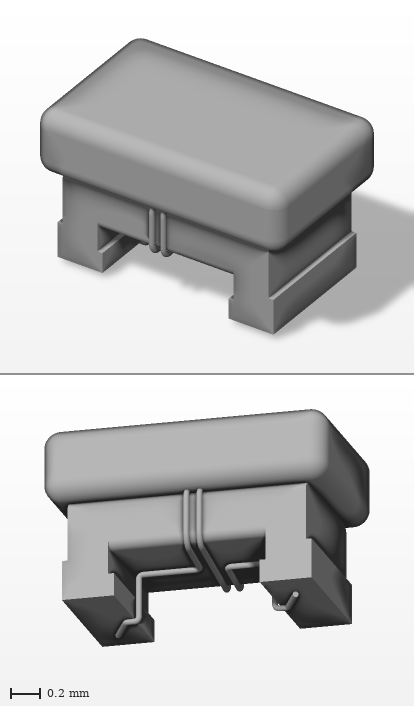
import cadquery as cq
import math

total_height = 1.24

cap_length = 2.0
cap_width = 1.25
cap_height = 0.5
cap_round = 0.12
cap_bottom = total_height - cap_height

wire_diameter = 0.04
wire_radius = wire_diameter / 2
core_length = 1.68
core_width = 1.015
core_round = 0.06
core_top = cap_bottom
beam_bottom = 0.38
leg_thickness = 0.285

plate_thickness = 0.04
terminal_bottom = wire_diameter
terminal_outer_top = 0.32
terminal_inner_top = 0.2
core_bottom = terminal_bottom + plate_thickness
leg_outer_x = core_length / 2
leg_inner_x = leg_outer_x - leg_thickness

coil_side_gap = 0.005
coil_end_gap = 0.01
coil_bend = core_round + coil_end_gap + wire_radius
coil_y = core_width / 2 + coil_side_gap + wire_radius
coil_bottom_z = beam_bottom - coil_end_gap - wire_radius
coil_top_z = core_top + coil_end_gap + wire_radius
first_turn_x = -0.002
turn_pitch = 0.092
second_turn_x = first_turn_x - turn_pitch
coil_entry_bend = 0.045
lead_bend = 0.03
lead_x = 0.48
end_z = wire_radius
end_turn_x = 0.57
end_tip_x = 0.695
end_tip_y = 0.252


def make_cap():
    """Block with all its edges rounded."""
    block = cq.Workplane("XY").box(cap_length, cap_width, cap_height)
    return block.edges().fillet(cap_round).translate((0, 0, cap_bottom + cap_height / 2))


def make_core():
    """Beam with rounded long edges, standing on two square-edged legs."""
    beam_height = core_top - beam_bottom
    beam = (
        cq.Workplane("XY")
        .box(core_length, core_width, beam_height)
        .edges("|X")
        .fillet(core_round)
        .translate((0, 0, beam_bottom + beam_height / 2))
    )
    leg_height = core_top - core_round - core_bottom
    leg_centre_x = leg_outer_x - leg_thickness / 2
    for side in (-1, 1):
        leg = cq.Workplane("XY").box(leg_thickness, core_width, leg_height)
        beam = beam.union(leg.translate((side * leg_centre_x, 0, core_bottom + leg_height / 2)))
    return beam


def make_terminal(side):
    """U-shaped plate around one foot, with its outer wall taller than its inner wall."""
    outline = [
        (leg_outer_x + plate_thickness, terminal_outer_top),
        (leg_outer_x + plate_thickness, terminal_bottom),
        (leg_inner_x - plate_thickness, terminal_bottom),
        (leg_inner_x - plate_thickness, terminal_inner_top),
        (leg_inner_x, terminal_inner_top),
        (leg_inner_x, core_bottom),
        (leg_outer_x, core_bottom),
        (leg_outer_x, terminal_outer_top),
    ]
    return (
        cq.Workplane("XZ")
        .polyline([(side * x, z) for x, z in outline])
        .close()
        .extrude(core_width / 2, both=True)
    )


def rounded_path(start, corners, end):
    """Straight runs joined by tangent arcs; each corner is a point and its bend radius."""
    points = [cq.Vector(*p) for p in [start] + [point for point, _ in corners] + [end]]
    edges = []
    run_start = points[0]
    for i, (_, bend) in enumerate(corners, start=1):
        corner = points[i]
        back = (points[i - 1] - corner).normalized()
        ahead = (points[i + 1] - corner).normalized()
        half_angle = back.getAngle(ahead) / 2
        setback = bend / math.tan(half_angle)
        arc_start = corner + back * setback
        arc_end = corner + ahead * setback
        mid_distance = bend / math.sin(half_angle) - bend
        arc_middle = corner + (back + ahead).normalized() * mid_distance
        edges.append(cq.Edge.makeLine(run_start, arc_start))
        edges.append(cq.Edge.makeThreePointArc(arc_start, arc_middle, arc_end))
        run_start = arc_end
    edges.append(cq.Edge.makeLine(run_start, points[-1]))
    return cq.Wire.assembleEdges(edges)


def make_winding():
    """One wire: right end, two turns that advance by slanted runs under the beam, left end."""
    right_tip = (end_tip_x, -end_tip_y, end_z)
    left_tip = (-end_tip_x, end_tip_y, end_z)
    right_lead = [
        ((end_turn_x, 0, end_z), lead_bend),
        ((lead_x, 0, end_z), lead_bend),
        ((lead_x, 0, coil_bottom_z), lead_bend),
        ((first_turn_x + turn_pitch / 2, 0, coil_bottom_z), coil_entry_bend),
    ]
    turns = []
    for x in (first_turn_x, second_turn_x):
        turns += [
            ((x, coil_y, coil_bottom_z), coil_bend),
            ((x, coil_y, coil_top_z), coil_bend),
            ((x, -coil_y, coil_top_z), coil_bend),
            ((x, -coil_y, coil_bottom_z), coil_bend),
        ]
    left_lead = [
        ((second_turn_x - turn_pitch / 2, 0, coil_bottom_z), coil_entry_bend),
        ((-lead_x, 0, coil_bottom_z), lead_bend),
        ((-lead_x, 0, end_z), lead_bend),
        ((-end_turn_x, 0, end_z), lead_bend),
    ]
    path = rounded_path(right_tip, right_lead + turns + left_lead, left_tip)
    tip_direction = cq.Vector(end_turn_x, 0, end_z) - cq.Vector(*right_tip)
    tip_plane = cq.Plane(origin=right_tip, xDir=(0, 0, 1), normal=tip_direction.toTuple())
    return cq.Workplane(tip_plane).circle(wire_radius).sweep(cq.Workplane(path))


winding = make_winding()
core = make_core()
cap = make_cap().cut(winding)
terminals = [make_terminal(side) for side in (-1, 1)]

result = cq.Compound.makeCompound(
    [cap.val(), core.val(), winding.val(), *[terminal.val() for terminal in terminals]]
)